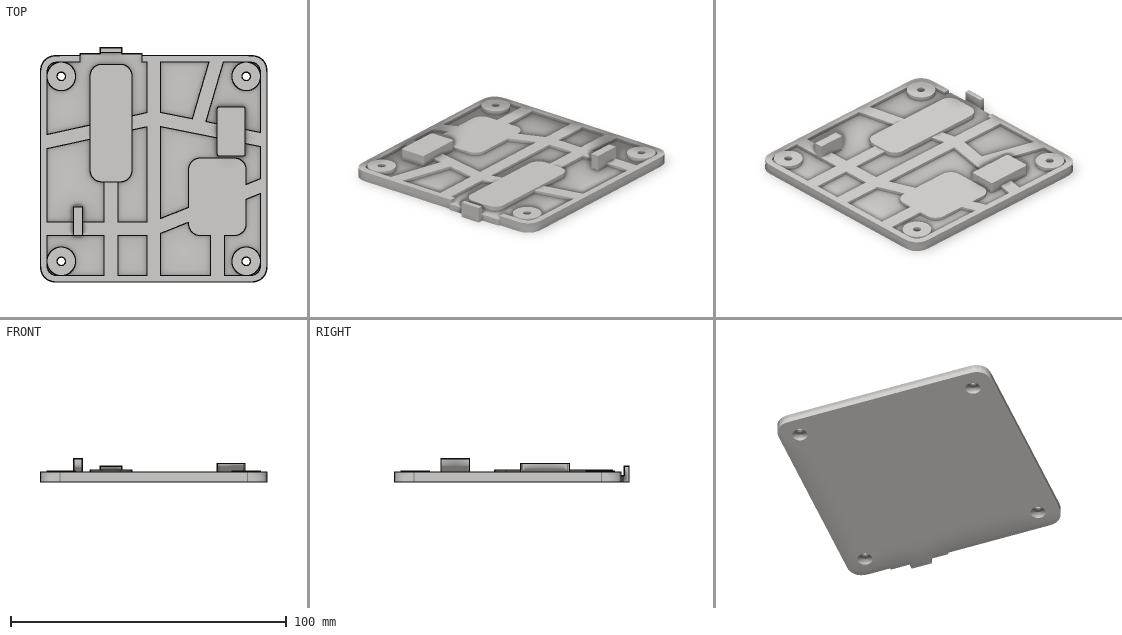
import cadquery as cq
import math

plate_side = 82.2
corner_reach = 7.1
floor_thickness = 2.4
rim_top = 3.75
rim_width = 2.4
inner_side = plate_side - 2 * rim_width
inner_corner_reach = corner_reach - rim_width

blend_shares = (0.6, 0.33)

rib_width = 5.0
rib_reach = (plate_side - rim_width) / 2
upper_hub_y = 18.4
lower_hub_y = -21.7
left_arm_end_y = 9.6
right_arm_end_y = 10.4
lower_arm_end_y = -5.8
brace_top_x = 23
brace_foot = (15.75, 15.2)
lower_right_rib_x = 23.15

boss_offset = 33.5
boss_diameter = 2 * (inner_side / 2 - boss_offset)
boss_top = 4.1
hole_diameter = 3.0
screw_head_diameter = 5.5
boss_web = 1.0

latch_x = -15.5
long_pad_width = 15.15
long_pad_length = 42.6
long_pad_y = 16.6
long_pad_top = 4.4
pad_radius = 4.2

wide_pad_width = 20.85
wide_pad_length = 28.1
wide_pad_x = 23.1
wide_pad_y = -10.1

block_width = 10.1
block_length = 17.8
block_x = 28.1
block_y = 13.5
block_top = 6.8
block_radius = 0.7
post_width = 3.15
post_length = 10.4
post_x = -27.5
post_top = 8.5
post_y = lower_hub_y - rib_width / 2 + post_length / 2

total_length = 85.1
latch_front_y = total_length - plate_side / 2
gap_width = 22.5
ledge_overhang = 0.7
latch_width = 7.8
latch_thickness = 1.8
latch_top = 5.8


def slab(x, y, width, length, bottom, top):
    """Upright box centred on (x, y)."""
    height = top - bottom
    return cq.Workplane("XY").box(width, length, height).translate((x, y, bottom + height / 2))


def rounded_slab(x, y, width, length, bottom, top, radius):
    return slab(x, y, width, length, bottom, top).edges("|Z").fillet(radius)


def rib(start, end):
    """Straight rib whose centre line runs between two points."""
    run = end[0] - start[0]
    rise = end[1] - start[1]
    bar = slab(0, 0, math.hypot(run, rise), rib_width, 0, rim_top)
    bar = bar.rotate((0, 0, 0), (0, 0, 1), math.degrees(math.atan2(rise, run)))
    return bar.translate(((start[0] + end[0]) / 2, (start[1] + end[1]) / 2, 0))


def blended_square(side, reach, bottom, top):
    """Square slab whose corners flow into the sides without a jump in curvature."""
    half = side / 2
    distances = [reach] + [reach * share for share in blend_shares]
    outline = cq.Workplane("XY").workplane(offset=bottom).moveTo(half, half - reach)
    for x_sign, y_sign in [(1, 1), (-1, 1), (-1, -1), (1, -1)]:
        on_side = [(x_sign * half, y_sign * (half - d)) for d in distances]
        on_end = [(x_sign * (half - d), y_sign * half) for d in reversed(distances)]
        corner = on_side + on_end
        if x_sign != y_sign:
            corner.reverse()
        if (x_sign, y_sign) != (1, 1):
            outline = outline.lineTo(*corner[0])
        outline = outline.bezier(corner[1:], includeCurrent=True)
    return outline.close().extrude(top - bottom)


def make_tray():
    tray = blended_square(plate_side, corner_reach, 0, rim_top)
    return tray.cut(blended_square(inner_side, inner_corner_reach, floor_thickness, rim_top))


def make_ribs():
    upper_hub = (0, upper_hub_y)
    lower_hub = (0, lower_hub_y)
    centre_lines = [
        ((0, -rib_reach), (0, rib_reach)),
        ((latch_x, -rib_reach), (latch_x, long_pad_y)),
        ((-rib_reach, lower_hub_y), lower_hub),
        (lower_hub, (rib_reach, lower_arm_end_y)),
        ((lower_right_rib_x, -rib_reach), (lower_right_rib_x, wide_pad_y)),
        ((-rib_reach, left_arm_end_y), upper_hub),
        (upper_hub, (rib_reach, right_arm_end_y)),
        (brace_foot, (brace_top_x, rib_reach)),
    ]
    ribs = rib(*centre_lines[0])
    for start, end in centre_lines[1:]:
        ribs = ribs.union(rib(start, end))
    return ribs


def make_pads_and_blocks():
    long_pad = rounded_slab(
        latch_x, long_pad_y, long_pad_width, long_pad_length, 0, long_pad_top, pad_radius
    )
    wide_pad = rounded_slab(
        wide_pad_x, wide_pad_y, wide_pad_width, wide_pad_length, 0, rim_top, pad_radius
    )
    block = rounded_slab(block_x, block_y, block_width, block_length, 0, block_top, block_radius)
    post = slab(post_x, post_y, post_width, post_length, 0, post_top)
    return long_pad.union(wide_pad).union(block).union(post)


def make_latch():
    """Floor ledge past the back edge, with an upright tongue."""
    ledge_start = inner_side / 2
    ledge_length = plate_side / 2 + ledge_overhang - ledge_start
    ledge = slab(latch_x, ledge_start + ledge_length / 2, gap_width, ledge_length, 0, floor_thickness)
    neck_length = latch_front_y - ledge_start
    neck = slab(latch_x, ledge_start + neck_length / 2, latch_width, neck_length, 0, floor_thickness)
    tongue_y = latch_front_y - latch_thickness / 2
    tongue = slab(latch_x, tongue_y, latch_width, latch_thickness, 0, latch_top)
    return ledge.union(neck).union(tongue)


def boss_pattern(diameter, height):
    """Four cylinders from the underside up, one on each boss axis."""
    spacing = 2 * boss_offset
    centres = cq.Workplane("XY").rect(spacing, spacing, forConstruction=True).vertices()
    return centres.circle(diameter / 2).extrude(height)


rim_gap = slab(latch_x, plate_side / 2 - rim_width / 2, gap_width, rim_width, floor_thickness, rim_top)

result = make_tray().cut(rim_gap)
result = result.union(make_ribs())
result = result.union(make_pads_and_blocks())
result = result.union(make_latch())
result = result.union(boss_pattern(boss_diameter, boss_top))
result = result.cut(boss_pattern(hole_diameter, boss_top))
result = result.cut(boss_pattern(screw_head_diameter, boss_top - boss_web))